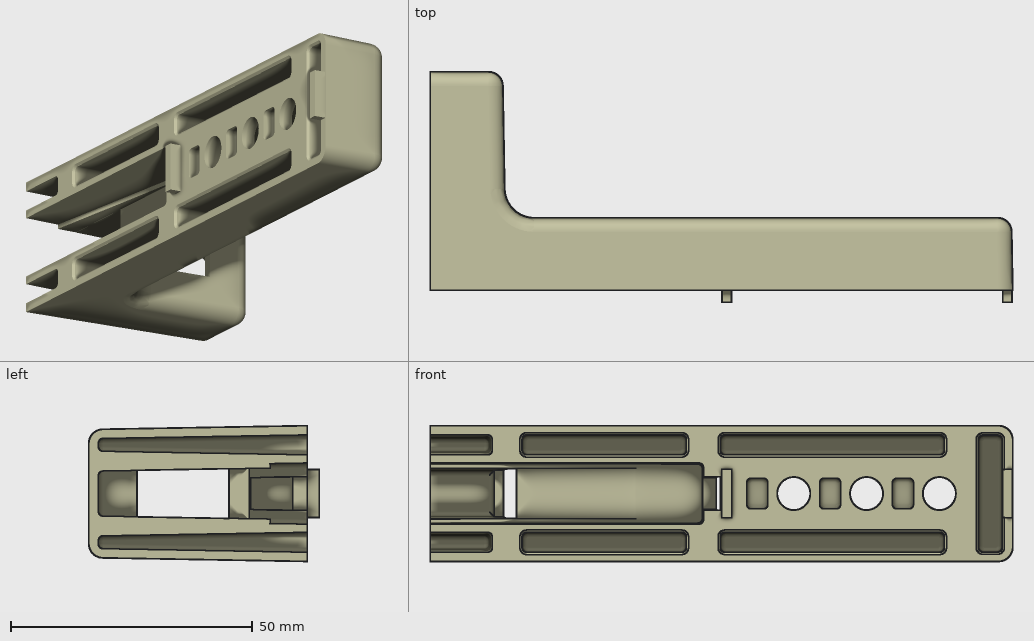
import cadquery as cq
import math

LENGTH = 120.84
HEIGHT = 28.2
LEG_REACH = 45.33
ARM_REACH = 15.07
LEG_WIDTH = 15.6
DRAFT = 1.0
INNER_RADIUS = 6.0
EDGE_RADIUS = 3.0
SHIFT_PER_MM = math.tan(math.radians(DRAFT))
TOLERANCE = 0.01

POCKET_RADIUS = 1.0
MOUTH_CHAMFER = 0.45
MOUTH_CHAMFER_ANGLE = 45
ARM_POCKET_FLOOR_RADIUS = 0.8
BACK_WALL = 2.0
ARM_POCKET_DEPTH = ARM_REACH - BACK_WALL
LEG_POCKET_DEPTH = LEG_REACH - BACK_WALL
SIDE_POCKET_Z = 10.1
SIDE_POCKET_WIDTH = 5.1
SIDE_POCKET_SPANS = [(18.6, 53.6), (59.7, 107.1)]
LEG_SLOT_END = 12.9
LEG_SLOT_WIDTH = 4.15
END_POCKET_SPAN = (113.2, 119.1)
END_POCKET_WIDTH = 25.2

CHANNEL_WIDTH = 10.5
CAVITY_WIDTH = 10.84
CHANNEL_DEPTH = 12.05
CHANNEL_END = 42.6
CAVITY_END = 13.9
WINDOW_END = 17.9
WINDOW_TOP = 35.3

RECESS_WIDTH = 12.7
RECESS_END = 56.7
RECESS_START_DEPTH = 7.7
RECESS_SLOPE = (CHANNEL_DEPTH - RECESS_START_DEPTH) / CHANNEL_END

NOTCH_WIDTH = 7.0
NOTCH_END = 60.2
NOTCH_DEPTH = 11.75
LATCH_START = 59.5
LATCH_END = 63.3
FRONT_PLATE = 3.0

HOLE_PITCH = 15.1
HOLE_COUNT = 3
FIRST_HOLE_X = 75.4
HOLE_DIAMETER = 6.8
BACK_SLOT_WIDTH = 8.0
DIMPLE_LENGTH = 6.4
DIMPLE_WIDTH = 4.4
DIMPLE_DEPTH = 2.3
DIMPLE_RADIUS = 0.75

TAB_THICKNESS = 2.0
TAB_LENGTH = 10.0
TAB_HEIGHT = 2.5
TAB_STARTS = [60.5, 118.7]


def front_plane(x, y, z):
    """Plane parallel to the front face, looking into the part (+Y)."""
    return cq.Plane(origin=(x, y, z), xDir=(1, 0, 0), normal=(0, 1, 0))


def box(x_span, y_span, width):
    """Box centred on Z = 0."""
    size_x = x_span[1] - x_span[0]
    size_y = y_span[1] - y_span[0]
    block = cq.Workplane("XY").box(size_x, size_y, width, centered=(False, False, True))
    return block.translate((x_span[0], y_span[0], 0))


def drafted_block(x_span, z_center, width, depth, corner_radius=0.0, floor_radius=0.0):
    """Block narrowing with the draft from the front face inward."""
    plane = front_plane((x_span[0] + x_span[1]) / 2, 0, z_center)
    block = cq.Workplane(plane).rect(x_span[1] - x_span[0], width).extrude(depth, taper=DRAFT)
    if corner_radius:
        block = block.edges("not(#Y)").fillet(corner_radius)
    if floor_radius:
        block = block.faces(">Y").edges().fillet(floor_radius)
    return block


def chamfered_pocket(x_span, z_center, width):
    """Arm pocket with a chamfer around its mouth."""
    length = x_span[1] - x_span[0]
    mouth_outline = cq.Sketch().rect(length, width).vertices().fillet(POCKET_RADIUS + MOUTH_CHAMFER)
    plane = front_plane(x_span[0] + length / 2, 0, z_center)
    mouth = cq.Workplane(plane).placeSketch(mouth_outline).extrude(MOUTH_CHAMFER, taper=MOUTH_CHAMFER_ANGLE)
    inner_span = (x_span[0] + MOUTH_CHAMFER, x_span[1] - MOUTH_CHAMFER)
    inner_width = width - 2 * MOUTH_CHAMFER
    pocket = drafted_block(
        inner_span, z_center, inner_width, ARM_POCKET_DEPTH, POCKET_RADIUS, ARM_POCKET_FLOOR_RADIUS
    )
    return mouth.union(pocket)


def make_body():
    body = drafted_block((-LENGTH, LENGTH), 0, HEIGHT, LEG_REACH)
    body = body.intersect(box((0, LENGTH), (0, LEG_REACH), HEIGHT))

    def leg_face_x(y):
        return LEG_WIDTH - (y - ARM_REACH) * SHIFT_PER_MM

    beyond = LEG_REACH + EDGE_RADIUS
    corner = (
        cq.Workplane("XY")
        .moveTo(leg_face_x(ARM_REACH), ARM_REACH)
        .lineTo(LENGTH, ARM_REACH)
        .lineTo(LENGTH, beyond)
        .lineTo(leg_face_x(beyond), beyond)
        .close()
        .extrude(HEIGHT / 2, both=True)
    )
    corner = corner.edges("|Z").edges("<Y").edges("<X").fillet(INNER_RADIUS)
    body = body.cut(corner)
    return body.newObject(rounded_edges(body)).fillet(EDGE_RADIUS)


def rounded_edges(body):
    """Outer edges, leaving out the front face, the X = 0 face and the ends of the inner bend."""
    bend_end_x = LEG_WIDTH + INNER_RADIUS + EDGE_RADIUS
    bend_end_y = ARM_REACH + INNER_RADIUS + EDGE_RADIUS
    chosen = []
    for edge in body.edges().vals():
        bounds = edge.BoundingBox()
        on_open_face = bounds.ymax < TOLERANCE or bounds.xmax < TOLERANCE
        along_z = bounds.zmin < 0 < bounds.zmax
        in_bend = bounds.xmax < bend_end_x and bounds.ymax < bend_end_y
        if not on_open_face and not (along_z and in_bend):
            chosen.append(edge)
    return chosen


def cut_front_pockets(body):
    for side in (-1, 1):
        z = side * SIDE_POCKET_Z
        for span in SIDE_POCKET_SPANS:
            body = body.cut(chamfered_pocket(span, z, SIDE_POCKET_WIDTH))
        leg_span = (-LEG_SLOT_END, LEG_SLOT_END)
        body = body.cut(
            drafted_block(leg_span, z, LEG_SLOT_WIDTH, LEG_POCKET_DEPTH, POCKET_RADIUS, POCKET_RADIUS)
        )
    return body.cut(chamfered_pocket(END_POCKET_SPAN, 0, END_POCKET_WIDTH))


def cut_channel(body):
    cavity = drafted_block(
        (-CAVITY_END, CAVITY_END), 0, CAVITY_WIDTH, LEG_POCKET_DEPTH, floor_radius=POCKET_RADIUS
    )
    channel = box((0, CHANNEL_END), (0, CHANNEL_DEPTH), CHANNEL_WIDTH)
    walls = drafted_block((-LENGTH, LENGTH), 0, CAVITY_WIDTH, LEG_POCKET_DEPTH)
    window = walls.intersect(box((LEG_SLOT_END, WINDOW_END), (CHANNEL_DEPTH, WINDOW_TOP), HEIGHT))
    return body.cut(cavity).cut(channel).cut(window)


def cut_sloped_recess(body):
    deepest = RECESS_START_DEPTH + RECESS_END * RECESS_SLOPE
    below_slope = (
        cq.Workplane("XY")
        .polyline([(0, 0), (RECESS_END, 0), (RECESS_END, deepest), (0, RECESS_START_DEPTH)])
        .close()
        .extrude(HEIGHT / 2, both=True)
    )
    walls = drafted_block((-RECESS_END, RECESS_END), 0, RECESS_WIDTH, ARM_REACH, POCKET_RADIUS)
    return body.cut(walls.intersect(below_slope))


def cut_latch(body):
    walls = drafted_block((-LENGTH, LENGTH), 0, NOTCH_WIDTH, NOTCH_DEPTH)
    notch = walls.intersect(box((CHANNEL_END, NOTCH_END), (0, NOTCH_DEPTH), HEIGHT))
    window = (
        cq.Workplane(front_plane((LATCH_START + LATCH_END) / 2, FRONT_PLATE, 0))
        .rect(LATCH_END - LATCH_START, NOTCH_WIDTH)
        .extrude(ARM_REACH, taper=-DRAFT)
    )
    return body.cut(notch).cut(window)


def cut_hole_row(body):
    row_length = (HOLE_COUNT - 1) * HOLE_PITCH
    slot = (
        cq.Workplane(front_plane(FIRST_HOLE_X + row_length / 2, FRONT_PLATE, 0))
        .slot2D(row_length + BACK_SLOT_WIDTH, BACK_SLOT_WIDTH)
        .extrude(ARM_REACH, taper=-DRAFT)
    )
    body = body.cut(slot)
    for index in range(HOLE_COUNT):
        hole_x = FIRST_HOLE_X + index * HOLE_PITCH
        hole = cq.Workplane(front_plane(hole_x, 0, 0)).circle(HOLE_DIAMETER / 2).extrude(ARM_REACH)
        dimple_x = hole_x - HOLE_PITCH / 2
        span = (dimple_x - DIMPLE_WIDTH / 2, dimple_x + DIMPLE_WIDTH / 2)
        dimple = drafted_block(span, 0, DIMPLE_LENGTH, DIMPLE_DEPTH, POCKET_RADIUS, DIMPLE_RADIUS)
        body = body.cut(hole).cut(dimple)
    return body


def add_tabs(body):
    for start in TAB_STARTS:
        body = body.union(box((start, start + TAB_THICKNESS), (-TAB_HEIGHT, 0), TAB_LENGTH))
    return body


result = make_body()
result = cut_front_pockets(result)
result = cut_channel(result)
result = cut_sloped_recess(result)
result = cut_latch(result)
result = cut_hole_row(result)
result = add_tabs(result)